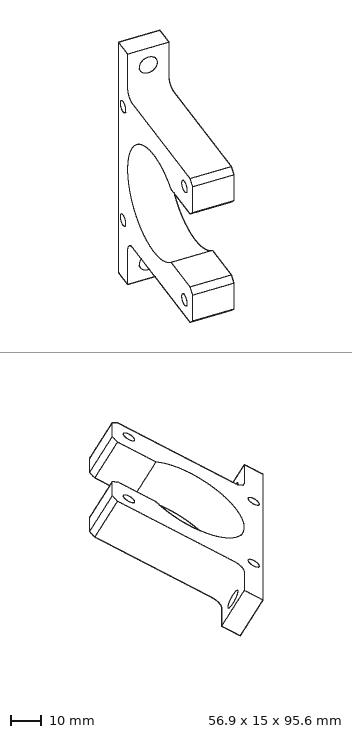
import cadquery as cq

height = 95.6
depth = 15.0
plate_thickness = 7.1

length = 56.9
body_height = 59.7
root_fillet = 3.8
selection_margin = 1.0
tip_chamfer = 2.0

seat_diameter = 40.15
seat_x = plate_thickness + seat_diameter / 2
slot_height = 30.2

clamp_hole_diameter = 4.2
clamp_hole_spacing = 47.0
clamp_hole_x = plate_thickness / 2 + clamp_hole_spacing / 2
mount_hole_diameter = 6.5
mount_hole_spacing = 81.6


def make_blank():
    """Plate and body joined, with the root corners rounded."""
    plate = cq.Workplane("XY").box(plate_thickness, depth, height, centered=(False, True, True))
    body = cq.Workplane("XY").box(length, depth, body_height, centered=(False, True, True))
    root_edges = cq.selectors.BoxSelector(
        (plate_thickness - selection_margin, -depth, -body_height / 2 - selection_margin),
        (plate_thickness + selection_margin, depth, body_height / 2 + selection_margin),
    )
    return plate.union(body).edges("|Y").edges(root_edges).fillet(root_fillet)


def cut_seat(blank):
    """Cut the round seat and its slot, then chamfer the four arm tip corners."""
    seat = (
        cq.Workplane("XZ")
        .center(seat_x, 0)
        .circle(seat_diameter / 2)
        .extrude(depth / 2, both=True)
    )
    slot = (
        cq.Workplane("XY")
        .box(length - seat_x, depth, slot_height, centered=(False, True, True))
        .translate((seat_x, 0, 0))
    )
    return blank.cut(seat).cut(slot).faces(">X").edges("|Y").chamfer(tip_chamfer)


def clamp_holes():
    """Square pattern of holes running along Y."""
    return (
        cq.Workplane("XZ")
        .center(clamp_hole_x, 0)
        .rect(clamp_hole_spacing, clamp_hole_spacing, forConstruction=True)
        .vertices()
        .circle(clamp_hole_diameter / 2)
        .extrude(depth / 2, both=True)
    )


def mount_holes():
    """Pair of holes through the plate ends along X."""
    return (
        cq.Workplane("YZ")
        .pushPoints([(0, -mount_hole_spacing / 2), (0, mount_hole_spacing / 2)])
        .circle(mount_hole_diameter / 2)
        .extrude(plate_thickness)
    )


result = cut_seat(make_blank()).cut(clamp_holes()).cut(mount_holes())